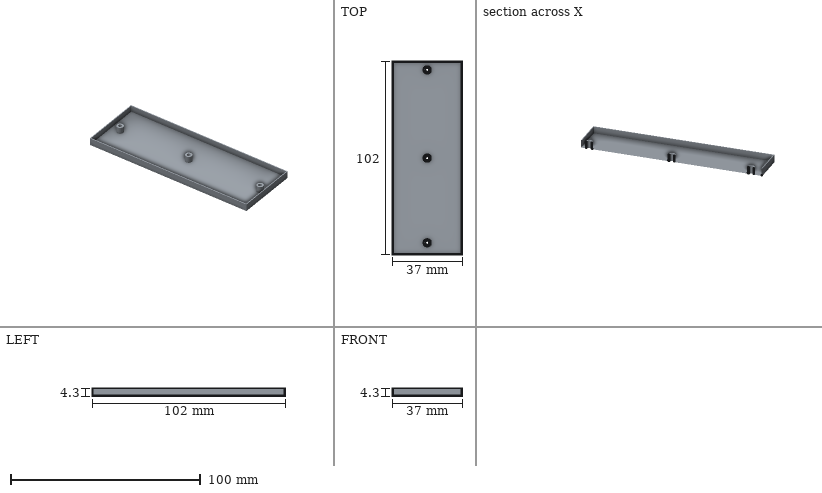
import cadquery as cq

length = 102.0
width = 37.0
height = 4.3
wall = 0.5
floor = 0.5

post_diameter = 4.0
hole_diameter = 2.0
post_positions = [(0, 46.5), (0, 0), (0, -44.7)]


def make_tray():
    """Open-topped rectangular tray standing on the XY plane."""
    block = cq.Workplane("XY").box(width, length, height, centered=(True, True, False))
    cavity = (
        cq.Workplane("XY", origin=(0, 0, floor))
        .rect(width - 2 * wall, length - 2 * wall)
        .extrude(height - floor)
    )
    return block.cut(cavity)


def add_posts(tray):
    """Raise the posts to the rim and bore each one through the tray."""
    posts = (
        cq.Workplane("XY")
        .pushPoints(post_positions)
        .circle(post_diameter / 2)
        .extrude(height)
    )
    bores = (
        cq.Workplane("XY")
        .pushPoints(post_positions)
        .circle(hole_diameter / 2)
        .extrude(height)
    )
    return tray.union(posts).cut(bores)


result = add_posts(make_tray())